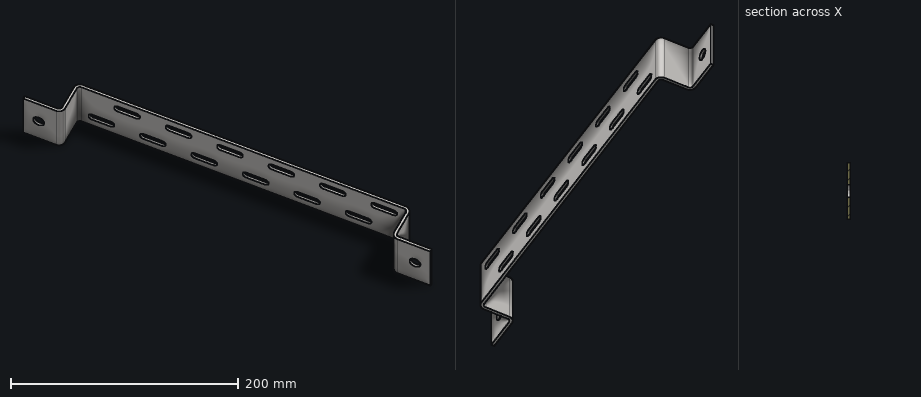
import cadquery as cq

length = 396.0
depth = 36.0
height = 50.0

thickness = 3.0
inner_radius = 3.0
outer_radius = inner_radius + thickness
raised_width = 326.0

hole_diameter = 10.5
hole_edge_distance = 15.0

slot_length = 25.0
slot_width = 7.0
slot_pitch = 50.0
slots_per_row = 6
row_spacing = 26.0
row_stagger = slot_pitch / 2


def bent_strip():
    """Hat-shaped sheet, symmetric about X = 0, extruded along Z."""
    half_length = length / 2
    wall_outer = raised_width / 2
    wall_inner = wall_outer - thickness
    right_half = (
        cq.Workplane("XY")
        .moveTo(0, depth)
        .lineTo(wall_outer - outer_radius, depth)
        .radiusArc((wall_outer, depth - outer_radius), outer_radius)
        .lineTo(wall_outer, outer_radius)
        .radiusArc((wall_outer + inner_radius, thickness), -inner_radius)
        .lineTo(half_length, thickness)
        .lineTo(half_length, 0)
        .lineTo(wall_inner + outer_radius, 0)
        .radiusArc((wall_inner, outer_radius), outer_radius)
        .lineTo(wall_inner, depth - outer_radius)
        .radiusArc((wall_inner - inner_radius, depth - thickness), -inner_radius)
        .lineTo(0, depth - thickness)
        .close()
        .extrude(height)
    )
    return right_half.union(right_half.mirror("YZ"))


def sheet_cutter_plane():
    """XZ plane at the back face; extruding from it runs toward -Y."""
    return cq.Workplane("XZ", origin=(0, depth, 0))


def mounting_holes():
    hole_x = length / 2 - hole_edge_distance
    return (
        sheet_cutter_plane()
        .pushPoints([(-hole_x, height / 2), (hole_x, height / 2)])
        .circle(hole_diameter / 2)
        .extrude(depth)
    )


def slot_row(center_x, center_z):
    first_x = center_x - slot_pitch * (slots_per_row - 1) / 2
    centers = [(first_x + i * slot_pitch, center_z) for i in range(slots_per_row)]
    return (
        sheet_cutter_plane()
        .pushPoints(centers)
        .slot2D(slot_length, slot_width)
        .extrude(thickness)
    )


upper_row = slot_row(row_stagger / 2, (height + row_spacing) / 2)
lower_row = slot_row(-row_stagger / 2, (height - row_spacing) / 2)

result = bent_strip().cut(mounting_holes()).cut(upper_row).cut(lower_row)